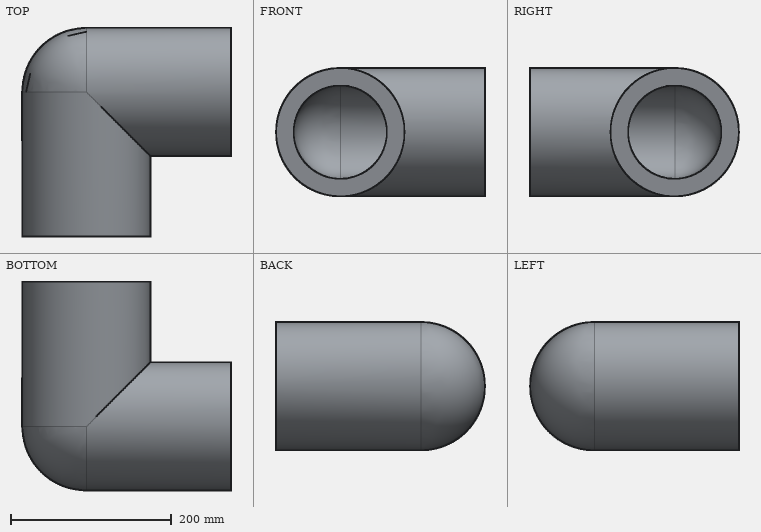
import cadquery as cq

overall_length = 260.0
outer_diameter = 160.0
bore_diameter = 116.0
arm_length = overall_length - outer_diameter / 2


def elbow_body(diameter):
    """Solid elbow: arms along +X and -Y joined by a ball at the origin."""
    radius = diameter / 2
    x_arm = cq.Workplane("YZ").circle(radius).extrude(arm_length)
    y_arm = cq.Workplane("XZ").circle(radius).extrude(arm_length)
    corner = cq.Workplane("XY").sphere(radius)
    return x_arm.union(y_arm).union(corner)


result = elbow_body(outer_diameter).cut(elbow_body(bore_diameter))